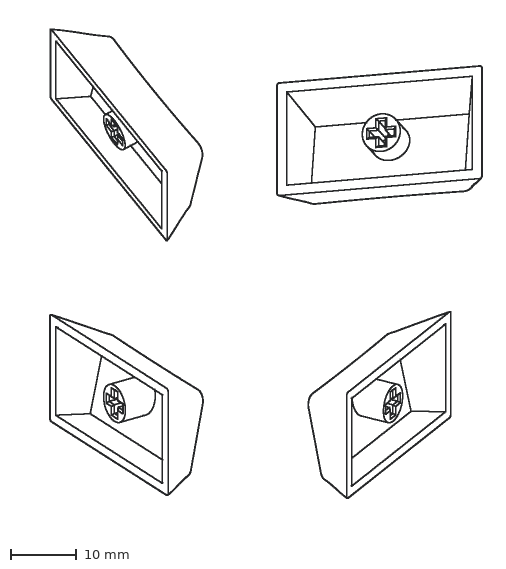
import cadquery as cq
import math

WIDTH = 32.45
HEIGHT = 18.0
RIM_CORNER_RADIUS = 0.4

BACK_WIDTH = 26.6
BACK_TOP_Y = 8.75
BACK_TOP_Z = 4.85
BACK_BOTTOM_Y = 5.9
BACK_CORNER_RADIUS = 1.8
BACK_EDGE_FILLET = 0.32
DISH_DEPTH = 0.4
SECTION_COUNT = 5

WALL = 1.55
FLOOR_WIDTH = 24.35
FLOOR_TOP_Y = 7.25
FLOOR_TOP_Z = 3.85
FLOOR_BOTTOM_Y = 4.67

STEM_DIAMETER = 6.0
STEM_FRONT_Y = 1.0
CROSS_LENGTH = 4.6
CROSS_ARM = 1.7
CROSS_CHAMFER = 0.32

BOTTOM_Z = -HEIGHT / 2
BACK_BOTTOM = (BACK_BOTTOM_Y, BOTTOM_Z)
BACK_TOP = (BACK_TOP_Y, BACK_TOP_Z)
STEM_FRONT = cq.Plane(origin=(0, STEM_FRONT_Y, 0), xDir=(1, 0, 0), normal=(0, 1, 0))


def blend(start, end, fraction):
    return start + (end - start) * fraction


def section_plane(bottom, top):
    """Plane centred between two (y, z) points, local x along X and local y from bottom to top."""
    rise_y = top[0] - bottom[0]
    rise_z = top[1] - bottom[1]
    origin = (0, (bottom[0] + top[0]) / 2, (bottom[1] + top[1]) / 2)
    return cq.Plane(origin=origin, xDir=(1, 0, 0), normal=(0, -rise_z, rise_y))


def rectangle_wire(bottom, top, width, corner_radius=0):
    """Rectangle spanning two (y, z) points, with optional rounded corners."""
    plane = section_plane(bottom, top)
    sketch = cq.Sketch().rect(width, math.dist(bottom, top))
    if corner_radius:
        sketch = sketch.vertices().fillet(corner_radius)
    wire = sketch.reset().faces().val().outerWire()
    return wire.moved(plane.location)


def make_shell():
    """Tapered body whose corner radius grows smoothly from the rim to the back."""
    sections = []
    for index in range(SECTION_COUNT):
        fraction = index / (SECTION_COUNT - 1)
        eased = fraction**2 * (3 - 2 * fraction)
        bottom = (blend(0, BACK_BOTTOM_Y, fraction), BOTTOM_Z)
        top = (blend(0, BACK_TOP_Y, fraction), blend(HEIGHT / 2, BACK_TOP_Z, fraction))
        width = blend(WIDTH, BACK_WIDTH, fraction)
        radius = blend(RIM_CORNER_RADIUS, BACK_CORNER_RADIUS, eased)
        sections.append(rectangle_wire(bottom, top, width, radius))
    return cq.Workplane(obj=cq.Solid.makeLoft(sections))


def make_dish():
    """Large cylinder that hollows the back, its axis parallel to the tilted back."""
    back = section_plane(BACK_BOTTOM, BACK_TOP)
    radius = ((BACK_WIDTH / 2) ** 2 + DISH_DEPTH**2) / (2 * DISH_DEPTH)
    axis_offset = radius - DISH_DEPTH
    axis_plane = cq.Plane(
        origin=back.toWorldCoords((0, 0, -axis_offset)),
        xDir=(1, 0, 0),
        normal=back.yDir,
    )
    return cq.Workplane(axis_plane).circle(radius).extrude(HEIGHT, both=True)


def make_cavity():
    rim_z = HEIGHT / 2 - WALL
    opening = rectangle_wire((0, -rim_z), (0, rim_z), WIDTH - 2 * WALL)
    floor = rectangle_wire((FLOOR_BOTTOM_Y, -rim_z), (FLOOR_TOP_Y, FLOOR_TOP_Z), FLOOR_WIDTH)
    return cq.Workplane(obj=cq.Solid.makeLoft([opening, floor], True))


def cross_wire(inset):
    """Cross outline in the XY plane, moved inwards by the inset."""
    length = CROSS_LENGTH - 2 * inset
    arm = CROSS_ARM - 2 * inset
    sketch = cq.Sketch().rect(length, arm).rect(arm, length).clean()
    return sketch.reset().faces().val().outerWire()


def make_stem():
    return cq.Workplane(STEM_FRONT).circle(STEM_DIAMETER / 2).extrude(BACK_TOP_Y)


def make_socket():
    """Cross with a chamfered mouth, deep enough to reach the cavity floor."""
    mouth = cross_wire(0)
    throat = cross_wire(CROSS_CHAMFER).moved(cq.Location(cq.Vector(0, 0, CROSS_CHAMFER)))
    lead_in = cq.Solid.makeLoft([mouth, throat], True)
    bore = cq.Solid.extrudeLinear(throat, [], cq.Vector(0, 0, BACK_TOP_Y))
    return cq.Workplane(obj=lead_in.fuse(bore).moved(STEM_FRONT.location))


shell = make_shell().cut(make_dish())
shell = shell.faces(">Y").edges().fillet(BACK_EDGE_FILLET)
cavity = make_cavity()
stem = make_stem().cut(make_socket()).intersect(cavity)
result = shell.cut(cavity).union(stem)